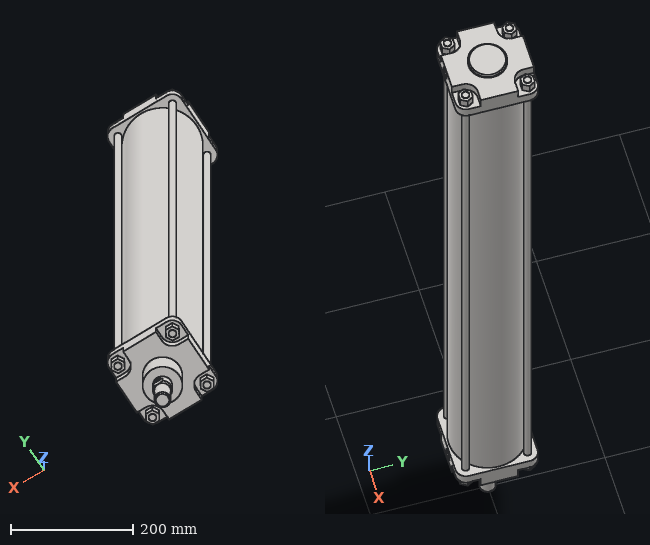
import cadquery as cq
import math

TOTAL_LENGTH = 1274.0
BOSS_HEIGHT = 5.0
HEAD_HEIGHT = 37.0
FRONT_HEAD_OUTER = 118.0
FRONT_HEAD_INNER = FRONT_HEAD_OUTER + HEAD_HEIGHT
REAR_HEAD_OUTER = TOTAL_LENGTH - BOSS_HEIGHT
REAR_HEAD_INNER = REAR_HEAD_OUTER - HEAD_HEIGHT

HEAD_WIDTH = 140.0
TIE_ROD_SPACING = 106.0
CORNER_RADIUS = 18.0
WEB_WIDTH = 64.0
POCKET_DEPTH = 18.0
POCKET_RADIUS = 20.0
BOSS_DIAMETER = 65.0
BOSS_CHAMFER = 3.0

PORT_DIAMETER = 19.0
PORT_DEPTH = 25.0
PORT_OFFSET = 8.0
PORT_FROM_FACE = 17.0

TUBE_DIAMETER = 132.0
TUBE_BORE = 125.0

TIE_ROD_DIAMETER = 13.0
NUT_ACROSS_FLATS = 22.0
NUT_ACROSS_CORNERS = NUT_ACROSS_FLATS / math.cos(math.pi / 6)
NUT_HEIGHT = 17.0

COLLAR_LENGTH = 47.0
COLLAR_BASE = FRONT_HEAD_OUTER - COLLAR_LENGTH
PISTON_ROD_DIAMETER = 32.0
THREAD_DIAMETER = 27.0
THREAD_LENGTH = 46.0
THREAD_CHAMFER = 3.0
SHOULDER_TAPER_LENGTH = 4.0
FLATS_WIDTH = 27.0
FLATS_LENGTH = 17.0

TIE_ROD_CENTRES = [
    (x * TIE_ROD_SPACING / 2, y * TIE_ROD_SPACING / 2) for x in (-1, 1) for y in (-1, 1)
]


def cylinder(diameter, base, top):
    """Upright cylinder on the Z axis between two heights."""
    return cq.Workplane("XY").workplane(offset=base).circle(diameter / 2).extrude(top - base)


def corner_pocket(x, y, outer_face, inward):
    """Recess around one tie-rod axis, open to both outer sides of the head."""
    side_x = math.copysign(HEAD_WIDTH, x)
    side_y = math.copysign(HEAD_WIDTH, y)
    wall_x = math.copysign(WEB_WIDTH / 2, x)
    wall_y = math.copysign(WEB_WIDTH / 2, y)
    inner_corner = (wall_x, wall_y, outer_face + inward * POCKET_DEPTH / 2)
    return (
        cq.Workplane("XY")
        .workplane(offset=outer_face)
        .moveTo(wall_x, wall_y)
        .lineTo(side_x, wall_y)
        .lineTo(side_x, side_y)
        .lineTo(wall_x, side_y)
        .close()
        .extrude(inward * POCKET_DEPTH)
        .edges(cq.selectors.NearestToPointSelector(inner_corner))
        .fillet(POCKET_RADIUS)
    )


def make_head(outer_face, inward, port_x):
    """Square head with corner pockets, tie-rod holes and a port; inward (+1 or -1) points to the tube."""
    head = (
        cq.Workplane("XY")
        .workplane(offset=outer_face)
        .rect(HEAD_WIDTH, HEAD_WIDTH)
        .extrude(inward * HEAD_HEIGHT)
        .edges("|Z")
        .fillet(CORNER_RADIUS)
    )
    for x, y in TIE_ROD_CENTRES:
        head = head.cut(corner_pocket(x, y, outer_face, inward))
    rod_holes = (
        cq.Workplane("XY")
        .workplane(offset=outer_face)
        .pushPoints(TIE_ROD_CENTRES)
        .circle(TIE_ROD_DIAMETER / 2)
        .extrude(inward * HEAD_HEIGHT)
    )
    port = (
        cq.Workplane("XZ", origin=(port_x, -HEAD_WIDTH / 2, outer_face + inward * PORT_FROM_FACE))
        .circle(PORT_DIAMETER / 2)
        .extrude(-PORT_DEPTH)
    )
    return head.cut(rod_holes).cut(port)


def make_rear_head():
    """Upper head with a low round boss on its outer face."""
    boss = cylinder(BOSS_DIAMETER, REAR_HEAD_OUTER, TOTAL_LENGTH).faces(">Z").chamfer(BOSS_CHAMFER)
    return make_head(REAR_HEAD_OUTER, -1, -PORT_OFFSET).union(boss)


def make_front_head():
    """Lower head with the guide collar and a through hole for the piston rod."""
    collar = cylinder(BOSS_DIAMETER, COLLAR_BASE, FRONT_HEAD_OUTER)
    rod_hole = cylinder(PISTON_ROD_DIAMETER, COLLAR_BASE, FRONT_HEAD_INNER)
    return make_head(FRONT_HEAD_OUTER, 1, PORT_OFFSET).union(collar).cut(rod_hole)


def make_tube():
    """Round cylinder tube clamped between the heads."""
    bore = cylinder(TUBE_BORE, FRONT_HEAD_INNER, REAR_HEAD_INNER)
    return cylinder(TUBE_DIAMETER, FRONT_HEAD_INNER, REAR_HEAD_INNER).cut(bore)


def make_tie_rod(x, y):
    """Long rod, flush with the outer head faces, with a hexagon nut seated in the pocket at each end."""
    rod = cylinder(TIE_ROD_DIAMETER, FRONT_HEAD_OUTER, REAR_HEAD_OUTER)
    front_seat = FRONT_HEAD_OUTER + POCKET_DEPTH
    rear_seat = REAR_HEAD_OUTER - POCKET_DEPTH
    for nut_base in (front_seat - NUT_HEIGHT, rear_seat):
        nut = (
            cq.Workplane("XY")
            .workplane(offset=nut_base)
            .polygon(6, NUT_ACROSS_CORNERS)
            .extrude(NUT_HEIGHT)
        )
        rod = rod.union(nut)
    return rod.translate((x, y, 0))


def make_piston_rod():
    """Rod with a chamfered thread end, a tapered shoulder and two wrench flats facing -Y and +Y."""
    shaft = cylinder(PISTON_ROD_DIAMETER, THREAD_LENGTH + SHOULDER_TAPER_LENGTH, FRONT_HEAD_INNER)
    shoulder = (
        cq.Workplane("XY")
        .workplane(offset=THREAD_LENGTH)
        .circle(THREAD_DIAMETER / 2)
        .workplane(offset=SHOULDER_TAPER_LENGTH)
        .circle(PISTON_ROD_DIAMETER / 2)
        .loft()
    )
    rod = shaft.union(shoulder)
    for side in (-1, 1):
        flat = (
            cq.Workplane("XY")
            .workplane(offset=THREAD_LENGTH)
            .center(0, side * (FLATS_WIDTH + PISTON_ROD_DIAMETER) / 2)
            .rect(PISTON_ROD_DIAMETER, PISTON_ROD_DIAMETER)
            .extrude(FLATS_LENGTH)
        )
        rod = rod.cut(flat)
    thread = cylinder(THREAD_DIAMETER, 0, THREAD_LENGTH).faces("<Z").chamfer(THREAD_CHAMFER)
    return rod.union(thread)


rear_head = make_rear_head()
front_head = make_front_head()
tube = make_tube()
piston_rod = make_piston_rod()
tie_rods = [make_tie_rod(x, y) for x, y in TIE_ROD_CENTRES]

result = cq.Compound.makeCompound(
    [
        rear_head.val(),
        front_head.val(),
        tube.val(),
        piston_rod.val(),
        *[tie_rod.val() for tie_rod in tie_rods],
    ]
)